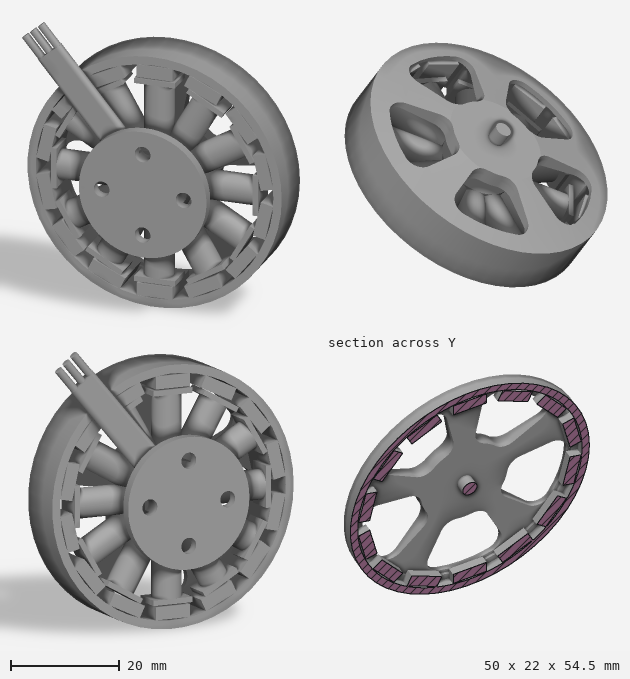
import cadquery as cq
import math


plate_radius = 12.5
plate_thickness = 2.0
hub_radius = 7.3
shaft_radius = 1.5
shaft_end = 22.0
screw_count = 4
screw_radius = 1.5
screw_circle_radius = 8.0
screw_depth = 3.55

bell_radius = 24.85
bell_front = 6.5
bell_shoulder = 16.4
bell_back = 19.0
bell_top_radius = 9.5
wall_inner_radius = 23.25
ledge_inner_radius = 21.9
ledge_depth = 15.5
ceiling_depth = 16.0

window_count = 5
window_first_angle = 54
window_span = 49
window_inner_radius = 9.0
window_outer_radius = 21.2
window_fillet = 3.0

magnet_count = 14
magnet_inner_radius = 20.5
magnet_outer_radius = 22.95
magnet_width = 7.0

tooth_count = 12
coil_width = 5.65
coil_flat = 0.25
shoe_inner_radius = 19.2
shoe_outer_radius = 20.25
shoe_width = 7.95
stator_front = bell_front
stator_back = stator_front + coil_width - coil_flat

cable_angle = 130
cable_side_shift = 0.25
cable_offset = 4.5
sleeve_thickness = 1.9
wire_count = 3
wire_pitch = 2.0
wire_radius = 0.75
wire_end = 36.15
sleeve_end = wire_end - 5.0
sleeve_width = 5.7


def disc(radius, y_start, y_end):
    """Cylinder about the motor axis between two positions along Y."""
    return cq.Workplane("XZ", origin=(0, y_start, 0)).circle(radius).extrude(y_start - y_end)


def block(width, y_start, y_end, z_start, z_end):
    """Box centred on X, spanning the given Y and Z ranges."""
    size = (width, y_end - y_start, z_end - z_start)
    corner = (-width / 2, y_start, z_start)
    return cq.Workplane("XY", origin=corner).box(*size, centered=False)


def turned(body, angle):
    """Turn a body about the motor axis, counter-clockwise when seen from -Y."""
    return body.rotate((0, 0, 0), (0, -1, 0), angle)


def polar(radius, angle):
    """Point in the XZ plane at an angle measured from +X towards +Z."""
    return (radius * math.cos(math.radians(angle)), radius * math.sin(math.radians(angle)))


def make_window():
    """Ring sector centred on +X with rounded corners, long enough to pass through the bell back."""
    half = window_span / 2
    sector = (
        cq.Workplane("XZ", origin=(0, bell_back, 0))
        .moveTo(*polar(window_inner_radius, -half))
        .lineTo(*polar(window_outer_radius, -half))
        .threePointArc(polar(window_outer_radius, 0), polar(window_outer_radius, half))
        .lineTo(*polar(window_inner_radius, half))
        .threePointArc(polar(window_inner_radius, 0), polar(window_inner_radius, -half))
        .close()
        .extrude(bell_back - bell_front)
    )
    return sector.edges("|Y").fillet(window_fillet)


def make_bell():
    profile = [
        (0, bell_back),
        (bell_top_radius, bell_back),
        (bell_radius, bell_shoulder),
        (bell_radius, bell_front),
        (wall_inner_radius, bell_front),
        (wall_inner_radius, ledge_depth),
        (ledge_inner_radius, ledge_depth),
        (ledge_inner_radius, ceiling_depth),
        (0, ceiling_depth),
    ]
    bell = cq.Workplane("XY").polyline(profile).close().revolve(360, (0, 0, 0), (0, 1, 0))
    window = make_window()
    for i in range(window_count):
        bell = bell.cut(turned(window, window_first_angle + i * 360 / window_count))
    magnet = block(magnet_width, bell_front, ledge_depth, magnet_inner_radius, magnet_outer_radius)
    for i in range(magnet_count):
        bell = bell.union(turned(magnet, i * 360 / magnet_count))
    return bell


def make_tooth():
    """Coil along +Z with a narrow flat on its front and back, and a flat shoe at its tip."""
    coil_depth = stator_back - stator_front
    coil_centre = (stator_front + stator_back) / 2
    section = cq.Workplane("XY").center(0, coil_centre).slot2D(coil_width, coil_depth)
    coil = section.extrude(shoe_inner_radius)
    shoe = block(shoe_width, stator_front, stator_back, shoe_inner_radius, shoe_outer_radius)
    return coil.union(shoe)


def make_stator():
    stator = disc(hub_radius, stator_front, stator_back)
    tooth = make_tooth()
    for i in range(tooth_count):
        stator = stator.union(turned(tooth, i * 360 / tooth_count))
    return stator


def make_mount():
    mount = disc(plate_radius, 0, plate_thickness).union(disc(hub_radius, 0, stator_front))
    screw_hole = disc(screw_radius, 0, screw_depth).translate((screw_circle_radius, 0, 0))
    for i in range(screw_count):
        mount = mount.cut(turned(screw_hole, i * 360 / screw_count))
    return mount


def make_cable():
    """Flat sleeve with round edges running out from the hub, with bare wires at its end."""
    section = cq.Workplane("XY").center(cable_side_shift, cable_offset)
    cable = section.slot2D(sleeve_width, sleeve_thickness).extrude(sleeve_end)
    for i in range(wire_count):
        x = (i - (wire_count - 1) / 2) * wire_pitch
        cable = cable.union(section.center(x, 0).circle(wire_radius).extrude(wire_end))
    return turned(cable, cable_angle - 90)


shaft = disc(shaft_radius, stator_front, shaft_end)
result = make_mount().union(make_stator()).union(shaft).union(make_bell()).union(make_cable())